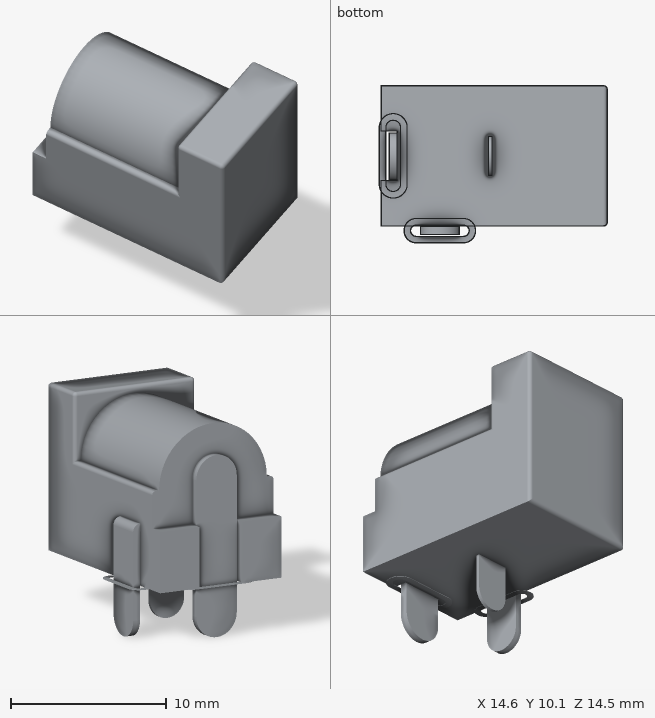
import cadquery as cq

body_length = 14.5
body_width = 9.0
body_height = 11.0
shelf_height = 6.5
head_start = 11.0
step_depth = 1.02
step_height = 4.02
slot_width = 3.16
edge_radius = 0.25
barrel_radius = 4.0

pin_drop = 3.5
pin_thickness = 0.51
end_pin_width = 3.0
end_pin_top = 8.49
end_pin_shift = 0.03
side_pin_width = 2.5
side_pin_x = 3.76
side_pin_gap = 0.05
side_pin_top = 4.1
inner_pin_thickness = 0.25
inner_pin_x = 7.0

ring_thickness = 0.03
ring_band = 0.42
end_ring_length = 5.41
end_ring_overhang = 0.13
side_ring_length = 4.6
side_ring_overhang = 1.08

side_face = body_width / 2
end_pin_x = step_depth - pin_thickness / 2
side_pin_outer = side_face + side_pin_gap + pin_thickness


def make_housing():
    """L-shaped block with rounded edges, half-round barrel and slotted front step."""
    block = (
        cq.Workplane("XZ")
        .moveTo(step_depth, 0)
        .lineTo(body_length, 0)
        .lineTo(body_length, body_height)
        .lineTo(head_start, body_height)
        .lineTo(head_start, shelf_height)
        .lineTo(step_depth, shelf_height)
        .close()
        .extrude(side_face, both=True)
    )
    shelf_sides = cq.selectors.BoxSelector(
        (step_depth, -body_width, shelf_height - 0.15),
        (head_start, body_width, shelf_height + 0.15),
    )
    head_edges = cq.selectors.BoxSelector(
        (head_start - 0.15, -body_width, shelf_height + 0.15),
        (body_length + 0.15, body_width, body_height + 0.15),
    )
    shelf_edges = block.edges("|X").edges(shelf_sides)
    upper_edges = block.edges(head_edges)
    end_edges = block.faces(">X").edges()
    block = block.newObject(
        shelf_edges.add(upper_edges).add(end_edges).vals()
    ).fillet(edge_radius)

    barrel = (
        cq.Workplane("YZ", origin=(step_depth, 0, shelf_height))
        .circle(barrel_radius)
        .extrude(head_start + edge_radius - step_depth)
    )
    step = cq.Workplane("XY").box(
        step_depth, body_width, step_height, centered=(False, True, False)
    )
    slot = cq.Workplane("XY").box(
        step_depth, slot_width, step_height, centered=(False, True, False)
    )
    return block.union(barrel).union(step.cut(slot))


def make_pin(plane, origin, width, top, thickness, round_top=False):
    """Flat pin with a round lower end, centred through its thickness on the origin."""
    half = width / 2
    shoulder = top - half if round_top else top
    pin = (
        cq.Workplane(plane, origin=origin)
        .moveTo(-half, shoulder)
        .lineTo(-half, half - pin_drop)
        .threePointArc((0, -pin_drop), (half, half - pin_drop))
        .lineTo(half, shoulder)
    )
    if round_top:
        pin = pin.threePointArc((0, top), (-half, shoulder))
    return pin.close().extrude(thickness / 2, both=True)


def make_side_pin():
    """Pin standing off the +Y side, bent into the housing at its top."""
    center_y = side_pin_outer - pin_thickness / 2
    blade = make_pin("XZ", (side_pin_x, center_y, 0), side_pin_width, side_pin_top, pin_thickness)
    arm = cq.Workplane("XY").box(
        side_pin_width, side_pin_outer - side_face, pin_thickness, centered=(True, False, False)
    ).translate((side_pin_x, side_face, side_pin_top - pin_thickness))
    return blade.union(arm).edges("|X").edges(">Z and >Y").fillet(pin_thickness)


def make_ring(x, y, length, width, angle):
    """Thin slot-shaped ring lying just below the seating plane."""
    plane = cq.Workplane("XY", origin=(x, y, 0))
    outer = plane.slot2D(length, width, angle).extrude(-ring_thickness)
    inner = plane.slot2D(length - 2 * ring_band, width - 2 * ring_band, angle).extrude(-ring_thickness)
    return outer.cut(inner)


end_pin = make_pin("YZ", (end_pin_x, end_pin_shift, 0), end_pin_width, end_pin_top, pin_thickness, True)
inner_pin = make_pin("YZ", (inner_pin_x, 0, 0), side_pin_width, step_height, inner_pin_thickness)

end_ring_width = 2 * (end_pin_x + end_ring_overhang)
end_ring = make_ring(end_pin_x, 0, end_ring_length, end_ring_width, 90)

side_ring_y = side_pin_outer - pin_thickness / 2
side_ring_width = 2 * (side_face + side_ring_overhang - side_ring_y)
side_ring = make_ring(side_pin_x, side_ring_y, side_ring_length, side_ring_width, 0)

result = make_housing()
for piece in (end_pin, inner_pin, make_side_pin(), end_ring, side_ring):
    result = result.union(piece)